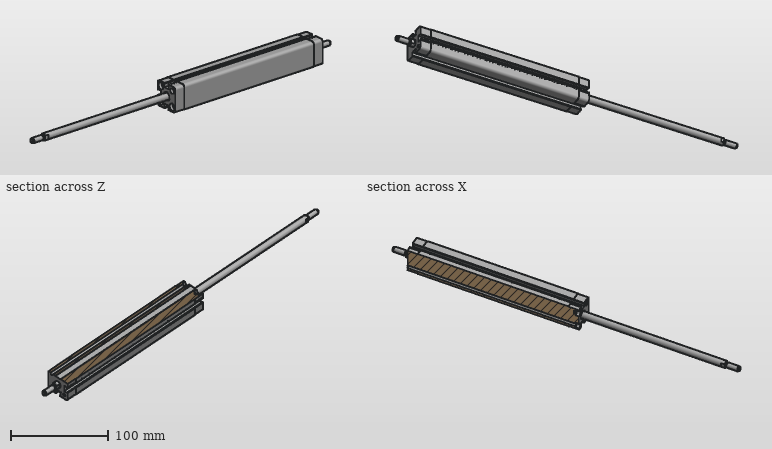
import cadquery as cq

total_length = 399.0
rod_end = total_length / 2
tube_front = -6.8
tube_back = 166.8
cap_length = 12.0
cap_front = tube_front - cap_length
cap_back = tube_back + cap_length

tube_width = 29.0
cap_inset = 0.3
cap_width = tube_width - 2 * cap_inset
flat_half_width = 11.0

slot_width = 6.0
slot_inner_width = 7.0
slot_floor = 9.0
slot_lip = 13.0

rod_diameter = 8.0
thread_diameter = 6.0
thread_length = 14.5
neck_diameter = 4.5
neck_length = 1.5
tip_chamfer_length = 1.5
tip_chamfer_depth = (thread_diameter - neck_diameter) / 2
flats_length = 4.0
flats_width = 6.0
rod_recess_diameter = 9.5
rod_recess_depth = 2.0

hole_pitch = 18.0
hole_offset = hole_pitch / 2
bore_depth = 4.0
through_diameter = 3.25
through_bore_diameter = 6.0
screw_bore_diameter = 7.5
socket_diameter = 3.25
socket_depth = 2.0


def cylinder(diameter, start, length, x=0.0, z=0.0):
    """Cylinder along +Y whose near end is centred at (x, start, z)."""
    return cq.Workplane(
        cq.Solid.makeCylinder(diameter / 2, length, cq.Vector(x, start, z), cq.Vector(0, 1, 0))
    )


def rounded_bar(width, start, end):
    """Square bar along Y with rounded long edges."""
    return (
        cq.Workplane("XY")
        .box(width, end - start, width)
        .edges("|Y")
        .fillet(width / 2 - flat_half_width)
        .translate((0, (start + end) / 2, 0))
    )


def bar_above_axis(width, bottom, top):
    """Rectangular bar over the whole body length, between two heights above the rod axis."""
    return (
        cq.Workplane("XY")
        .box(width, cap_back - cap_front, top - bottom, centered=(True, False, False))
        .translate((0, cap_front, bottom))
    )


def slot_cutter(angle):
    """T-slot cutter opening upward, then turned about the Y axis."""
    mouth = bar_above_axis(slot_width, slot_lip, tube_width / 2)
    inner = bar_above_axis(slot_inner_width, slot_floor, slot_lip)
    return mouth.union(inner).rotate((0, 0, 0), (0, 1, 0), angle)


def through_hole(x, z):
    """Hole through the whole body, counterbored in the front cap."""
    hole = cylinder(through_diameter, cap_front, cap_back - cap_front, x, z)
    return hole.union(cylinder(through_bore_diameter, cap_front, bore_depth, x, z))


def screw_recess(x, z):
    """Blind recess in the front cap with a smaller socket at its bottom."""
    bore = cylinder(screw_bore_diameter, cap_front, bore_depth, x, z)
    return bore.union(cylinder(socket_diameter, cap_front, bore_depth + socket_depth, x, z))


def rod_tip():
    """Wrench flats, neck and chamfered thread at the +Y end of the rod."""
    thread_start = rod_end - thread_length
    neck_start = thread_start - neck_length
    flats_start = neck_start - flats_length
    thread = (
        cylinder(thread_diameter, thread_start, thread_length)
        .faces(">Y")
        .chamfer(tip_chamfer_length, tip_chamfer_depth)
    )
    neck = cylinder(neck_diameter, neck_start, neck_length)
    across_flats = (
        cq.Workplane("XY")
        .box(flats_width, flats_length, rod_diameter)
        .translate((0, flats_start + flats_length / 2, 0))
    )
    flats = cylinder(rod_diameter, flats_start, flats_length).intersect(across_flats)
    return flats.union(neck).union(thread)


body = rounded_bar(tube_width, tube_front, tube_back)
body = body.union(rounded_bar(cap_width, cap_front, cap_back))

for angle in (0, 180, -90):
    body = body.cut(slot_cutter(angle))

for offset in (-hole_offset, hole_offset):
    body = body.cut(through_hole(offset, offset))
    body = body.cut(screw_recess(offset, -offset))

body = body.cut(cylinder(rod_recess_diameter, cap_front, rod_recess_depth))

shank_half_length = rod_end - thread_length - neck_length - flats_length
rod = cylinder(rod_diameter, -shank_half_length, 2 * shank_half_length)
back_tip = rod_tip()
rod = rod.union(back_tip).union(back_tip.mirror("XZ"))

result = body.union(rod)